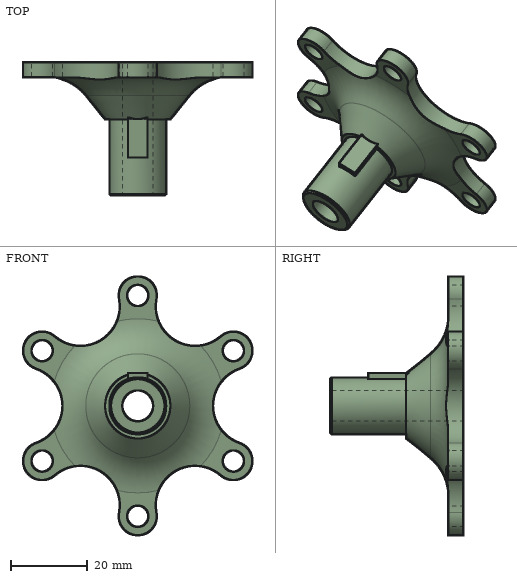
import cadquery as cq
import math

arm_count = 6
arm_tip_radius = 34.0
arm_end_radius = 5.0
arm_hole_diameter = 5.5
scallop_floor_radius = 19.8
flange_thickness = 4.0

total_length = 35.0
shaft_radius = 7.5
shaft_length = 20.0
shaft_chamfer = 0.5
bore_diameter = 8.0

hub_nose_radius = 8.6
cone_base_radius = 13.7
cone_length = 6.3
blend_outer_radius = 22.85

key_width = 5.2
key_length = 10.0
key_top = 8.65

arm_pitch = 360 / arm_count
half_pitch = math.radians(arm_pitch / 2)
bolt_radius = arm_tip_radius - arm_end_radius
shoulder = total_length - shaft_length

tangency_offset = scallop_floor_radius - arm_end_radius
scallop_center = (bolt_radius**2 - tangency_offset**2) / (
    2 * (bolt_radius * math.cos(half_pitch) - tangency_offset)
)


def polar(radius, angle):
    """Point at an angle in radians, measured from +Z toward +X."""
    return (radius * math.sin(angle), radius * math.cos(angle))


def flange_outline():
    scallop_x, scallop_z = polar(scallop_center, half_pitch)
    reach = math.hypot(scallop_x, scallop_z - bolt_radius)
    tangent_x = arm_end_radius * scallop_x / reach
    tangent_z = bolt_radius + arm_end_radius * (scallop_z - bolt_radius) / reach
    tangent_radius = math.hypot(tangent_x, tangent_z)
    tangent_angle = math.atan2(tangent_x, tangent_z)

    outline = cq.Workplane("XZ").moveTo(*polar(tangent_radius, -tangent_angle))
    for index in range(arm_count):
        arm_angle = math.radians(index * arm_pitch)
        next_angle = arm_angle + 2 * half_pitch
        outline = outline.threePointArc(
            polar(arm_tip_radius, arm_angle),
            polar(tangent_radius, arm_angle + tangent_angle),
        )
        outline = outline.threePointArc(
            polar(scallop_floor_radius, arm_angle + half_pitch),
            polar(tangent_radius, next_angle - tangent_angle),
        )
    return outline.close()


def make_hub():
    """Conical hub that flares out to the flange, trimmed by the scallops."""
    profile = (
        cq.Workplane("XY")
        .moveTo(0, 0)
        .lineTo(0, -shoulder)
        .lineTo(hub_nose_radius, -shoulder)
        .lineTo(cone_base_radius, cone_length - shoulder)
        .tangentArcPoint((blend_outer_radius, -flange_thickness), relative=False)
        .lineTo(blend_outer_radius, 0)
        .close()
    )
    hub = profile.revolve(360, (0, 0, 0), (0, 1, 0))
    return hub.intersect(flange_outline().extrude(shoulder))


def make_shaft():
    shaft = cq.Workplane("XZ").circle(shaft_radius).extrude(total_length)
    return shaft.faces("<Y").chamfer(shaft_chamfer)


def make_key():
    """Flat-topped key on the +Z side of the shaft, rooted in the hub."""
    return cq.Workplane("XY").box(
        key_width, shoulder + key_length, key_top, centered=(True, False, False)
    ).translate((0, -shoulder - key_length, 0))


flange = flange_outline().extrude(flange_thickness)
body = flange.union(make_hub()).union(make_shaft()).union(make_key())

bore = cq.Workplane("XZ").circle(bore_diameter / 2).extrude(total_length)
arm_holes = (
    cq.Workplane("XZ")
    .polarArray(bolt_radius, 90, 360, arm_count)
    .circle(arm_hole_diameter / 2)
    .extrude(flange_thickness)
)
result = body.cut(bore).cut(arm_holes)